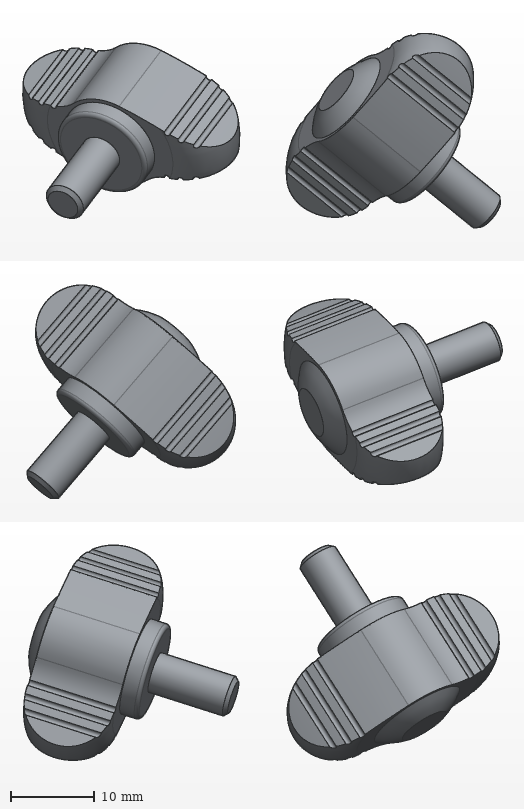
import cadquery as cq
import math

span = 28.0
grip_thickness = 11.03
hub_radius = 6.5
half_thickness = grip_thickness / 2
tip_radius = span / 2
overrun = 0.55

blend_radius = 5.0
hollow_turn = 49.2
flank_slope = 10.5
bulge_turn = 10.7
bulge_radius = 50.38

groove_radius = 0.35
groove_first = 7.67
groove_pitch = 1.75
groove_count = 3

collar_radius = 12.0 / 2
collar_height = 2.35
collar_fillet = 0.5
stud_radius = 5.0 / 2
stud_length = 10.0
stud_chamfer = 0.5
cap_height = 1.62
cap_flat_radius = 3.08

hollow_angle = math.radians(hollow_turn)
slope_angle = math.radians(flank_slope)
bulge_angle = math.radians(bulge_turn)
outer_x = tip_radius + overrun

hollow_center_x = -(hub_radius + blend_radius) * math.sin(hollow_angle)
hollow_center_z = (hub_radius + blend_radius) * math.cos(hollow_angle)
bulge_center_x = (hub_radius - bulge_radius) * math.sin(bulge_angle)
bulge_center_z = (hub_radius - bulge_radius) * math.cos(bulge_angle)


def hub_point(angle):
    """Point on the hub, at an angle from +Z towards +X."""
    return (hub_radius * math.sin(angle), hub_radius * math.cos(angle))


def hollow_point(angle):
    """Point on the hollow where the outline climbs at this angle."""
    return (
        hollow_center_x + blend_radius * math.sin(angle),
        hollow_center_z - blend_radius * math.cos(angle),
    )


flank_start_x, flank_start_z = hollow_point(slope_angle)


def straight_flank(x):
    """Point on the straight flank of the -X wing."""
    return (x, flank_start_z + (x - flank_start_x) * math.tan(slope_angle))


def bulged_flank(x):
    """Point on the bulged flank of the +X wing."""
    return (x, bulge_center_z + math.sqrt(bulge_radius**2 - (x - bulge_center_x) ** 2))


def opposite(point):
    return (-point[0], -point[1])


def unchanged(point):
    return point


def make_outline():
    outline = cq.Workplane("XZ").moveTo(*opposite(bulged_flank(outer_x)))
    for place in (unchanged, opposite):
        hollow_middle = hollow_point((slope_angle + hollow_angle) / 2)
        outline = (
            outline.lineTo(*place(straight_flank(-outer_x)))
            .lineTo(*place((flank_start_x, flank_start_z)))
            .threePointArc(place(hollow_middle), place(hub_point(-hollow_angle)))
            .threePointArc(place(hub_point(0)), place(hub_point(bulge_angle)))
            .threePointArc(place(bulged_flank(outer_x / 2)), place(bulged_flank(outer_x)))
        )
    return outline.close()


def make_rim():
    """Disc about the Y axis with a fully rounded rim."""
    flat_radius = tip_radius - half_thickness
    return (
        cq.Workplane("XY")
        .moveTo(0, -half_thickness)
        .lineTo(flat_radius, -half_thickness)
        .threePointArc((tip_radius, 0), (flat_radius, half_thickness))
        .lineTo(0, half_thickness)
        .close()
        .revolve(360, (0, 0), (0, 1))
    )


def make_grooves():
    centers = []
    for index in range(groove_count):
        x = groove_first + index * groove_pitch
        for center in (straight_flank(-x), bulged_flank(x)):
            centers += [center, opposite(center)]
    return cq.Workplane("XZ").pushPoints(centers).circle(groove_radius).extrude(half_thickness, both=True)


def make_collar_and_stud():
    collar = (
        cq.Workplane("XZ", origin=(0, -half_thickness, 0))
        .circle(collar_radius)
        .extrude(collar_height)
        .faces("<Y")
        .edges()
        .fillet(collar_fillet)
    )
    stud = (
        cq.Workplane("XZ", origin=(0, -half_thickness - collar_height, 0))
        .circle(stud_radius)
        .extrude(stud_length)
        .faces("<Y")
        .edges()
        .chamfer(stud_chamfer)
    )
    return collar.union(stud)


def make_cap():
    """Slice of a ball centred on the Y axis, cut flat at its outer end."""
    center_depth = (collar_radius**2 - cap_flat_radius**2 - cap_height**2) / (2 * cap_height)
    ball_radius = math.hypot(collar_radius, center_depth)
    middle_height = cap_height / 2
    middle_radius = math.sqrt(ball_radius**2 - (center_depth + middle_height) ** 2)
    return (
        cq.Workplane("XY", origin=(0, half_thickness, 0))
        .lineTo(collar_radius, 0)
        .threePointArc((middle_radius, middle_height), (cap_flat_radius, cap_height))
        .lineTo(0, cap_height)
        .close()
        .revolve(360, (0, 0), (0, 1))
    )


grip = make_outline().extrude(half_thickness, both=True).intersect(make_rim()).cut(make_grooves())
result = grip.union(make_collar_and_stud()).union(make_cap())